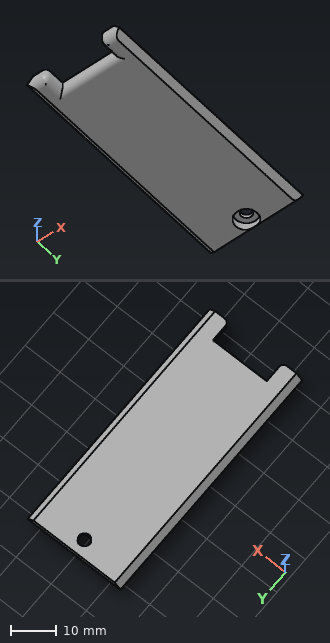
import cadquery as cq
import math

length = 63.75
width = 26.5
thickness = 3.45
notch_width = 15.3
notch_depth = 5.6
leg_corner_radius = 1.3
notch_edge_radius = 1.3
end_radius = 1.8
side_flat = 0.1
hole_diameter = 3.05
counterbore_diameter = 6.1
counterbore_depth = 2.3
hole_end_distance = 3.65

half_width = width / 2
half_length = length / 2
bevel = (thickness - side_flat) / 2


def beveled_bar():
    """Bar with 45 degree bevels above and below a narrow flat on both long sides."""
    return (
        cq.Workplane("XY")
        .box(width, length, thickness, centered=(True, True, False))
        .edges("|Y")
        .chamfer(bevel)
    )


def round_lower_ends(bar):
    """Round the lower edge at both ends of the bar."""
    envelope = cq.Workplane("XY").box(width, length, thickness, centered=(True, True, False))
    envelope = envelope.faces("<Z").edges("|X").fillet(end_radius)
    return bar.intersect(envelope)


def arc_middle(radius):
    """Inset from each tangent line at the middle of a quarter arc."""
    return radius * (1 - math.sqrt(0.5))


def flared_notch():
    """Notch cutter that widens downward, leaving rounded lower edges on its walls."""
    half_notch = notch_width / 2
    inset = arc_middle(end_radius)
    across = (
        cq.Workplane("XZ", origin=(0, half_length, 0))
        .moveTo(half_notch + end_radius, 0)
        .threePointArc((half_notch + inset, inset), (half_notch, end_radius))
        .lineTo(half_notch, thickness)
        .lineTo(-half_notch, thickness)
        .lineTo(-half_notch, end_radius)
        .threePointArc((-half_notch - inset, inset), (-half_notch - end_radius, 0))
        .close()
        .extrude(length)
    )
    inner_wall = notch_depth - half_length
    inset = arc_middle(notch_edge_radius)
    along = (
        cq.Workplane("YZ", origin=(-half_width, 0, 0))
        .moveTo(-half_length, 0)
        .lineTo(inner_wall + notch_edge_radius, 0)
        .threePointArc((inner_wall + inset, inset), (inner_wall, notch_edge_radius))
        .lineTo(inner_wall, thickness)
        .lineTo(-half_length, thickness)
        .close()
        .extrude(width)
    )
    return across.intersect(along)


def leg_corner_cutter():
    """Material to remove at the +X leg's mouth corner so that the rounded edge follows it."""
    overshoot = end_radius - leg_corner_radius
    arc_foot = end_radius - math.sqrt(end_radius**2 - overshoot**2)
    middle_angle = (math.pi / 2 - math.asin(overshoot / end_radius)) / 2
    arc_middle_point = (
        end_radius * math.cos(middle_angle) - overshoot,
        end_radius * (1 - math.sin(middle_angle)),
    )
    axis_x = notch_width / 2 + leg_corner_radius
    axis_y = leg_corner_radius - half_length
    kept_corner = (
        cq.Workplane("XZ", origin=(axis_x, axis_y, 0))
        .moveTo(0, arc_foot)
        .threePointArc(arc_middle_point, (leg_corner_radius, end_radius))
        .lineTo(leg_corner_radius, thickness)
        .lineTo(0, thickness)
        .close()
        .revolve(360, (0, 0, 0), (0, 1, 0))
    )
    corner_block = cq.Workplane("XY", origin=(notch_width / 2, -half_length, 0)).box(
        leg_corner_radius, leg_corner_radius, thickness, centered=False
    )
    return corner_block.cut(kept_corner)


def counterbored_hole():
    """Through hole near the +Y end, counterbored from below."""
    base = cq.Workplane("XY", origin=(0, half_length - hole_end_distance, 0))
    bore = base.circle(hole_diameter / 2).extrude(thickness)
    counterbore = base.circle(counterbore_diameter / 2).extrude(counterbore_depth)
    return bore.union(counterbore)


corner_cutter = leg_corner_cutter()
result = (
    round_lower_ends(beveled_bar())
    .cut(flared_notch())
    .cut(corner_cutter)
    .cut(corner_cutter.mirror("YZ"))
    .cut(counterbored_hole())
)